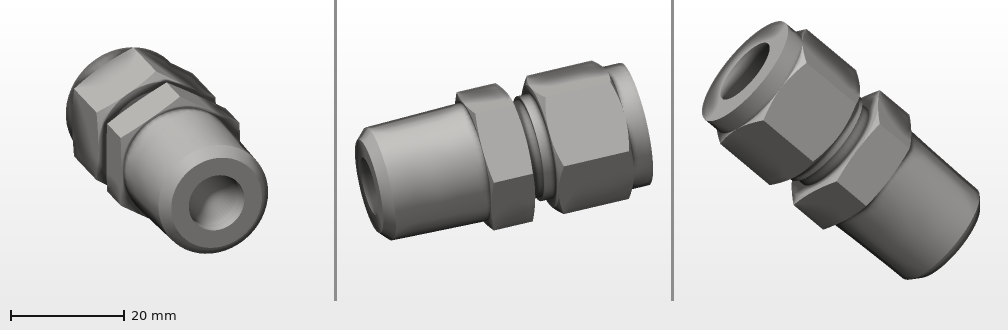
import cadquery as cq
import math


length = 49.0
collar_end = 3.5
nut_end = 17.45
shoulder_end = 19.5
neck_end = 21.75
body_hex_end = 29.85
thread_start = 30.9
thread_end = 47.25

across_flats = 22.2
flat_radius = across_flats / 2
corner_radius = flat_radius / math.cos(math.radians(30))
nut_chamfer = 1.0
body_chamfer = 0.45

collar_radius = flat_radius
shoulder_radius = 9.5
neck_radius = 8.77
thread_base_radius = 10.7
thread_tip_radius = 10.25
tip_chamfer = length - thread_end

tube_diameter = 12.65
tube_depth = 22.9
bore_diameter = 10.4


def revolve_profile(points):
    """Turn a profile of (x, radius) points about the X axis."""
    return cq.Workplane("XY").polyline(points).close().revolve(360, (0, 0, 0), (1, 0, 0))


def chamfered_hex(start, end, chamfer):
    """Hexagonal prism whose corners are cut by a cone at both ends."""
    prism = (
        cq.Workplane("YZ", origin=(start, 0, 0))
        .polygon(6, 2 * corner_radius)
        .extrude(end - start)
        .rotate((0, 0, 0), (1, 0, 0), 90)
    )
    envelope = revolve_profile([
        (start, 0),
        (start, flat_radius),
        (start + chamfer, corner_radius),
        (end - chamfer, corner_radius),
        (end, flat_radius),
        (end, 0),
    ])
    return prism.intersect(envelope)


def bore_cutter(start, end, diameter):
    """Cylinder along the axis, used as a cutter."""
    return cq.Workplane("YZ", origin=(start, 0, 0)).circle(diameter / 2).extrude(end - start)


turned_body = revolve_profile([
    (0, 0),
    (0, collar_radius),
    (collar_end, collar_radius),
    (collar_end, shoulder_radius),
    (shoulder_end, shoulder_radius),
    (shoulder_end, neck_radius),
    (neck_end, neck_radius),
    (neck_end, thread_base_radius),
    (thread_start, thread_base_radius),
    (thread_end, thread_tip_radius),
    (length, thread_tip_radius - tip_chamfer),
    (length, 0),
])

nut = chamfered_hex(collar_end, nut_end, nut_chamfer)
body_hex = chamfered_hex(neck_end, body_hex_end, body_chamfer)

tube_socket = bore_cutter(0, tube_depth, tube_diameter)
through_bore = bore_cutter(0, length, bore_diameter)

result = turned_body.union(nut).union(body_hex).cut(tube_socket).cut(through_bore)